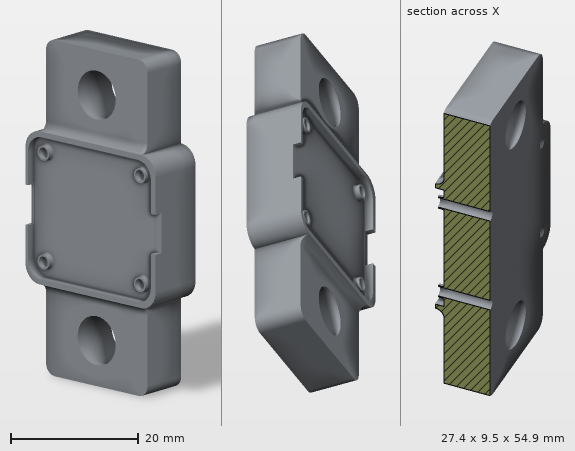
import cadquery as cq

total_height = 54.85
housing_width = 27.4
housing_height = 24.95
housing_depth = 9.5
housing_radius = 3.0

bar_width = housing_width - 2 * housing_radius
bar_depth = 8.0
bar_corner_radius = 1.85
bar_hole_diameter = 8.0
bar_hole_spacing = 40.05
step_radius = housing_depth - bar_depth

left_wall = 0.55
right_wall = 1.0
end_wall = 0.9
pocket_depth = step_radius
pocket_radius = 2.8
pocket_width = housing_width - left_wall - right_wall
pocket_height = housing_height - 2 * end_wall
pocket_center_x = (left_wall - right_wall) / 2

notch_height = 6.55
notch_depth = 1.35

post_spacing_x = 20.3
post_spacing_z = 17.8
post_diameter = 2.4
post_height = 1.0
post_foot_radius = 0.3
post_hole_diameter = 1.8

front_y = -housing_depth / 2
back_y = housing_depth / 2
bar_front_y = back_y - bar_depth
floor_y = front_y + pocket_depth


def plane_at(y):
    """XZ sketch plane at depth y; positive extrusion runs towards the front (-Y)."""
    return cq.Workplane("XZ", origin=(0, y, 0))


def make_bar():
    return (
        plane_at(back_y)
        .rect(bar_width, total_height)
        .extrude(bar_depth)
        .edges("|Y")
        .fillet(bar_corner_radius)
    )


def make_housing():
    return (
        plane_at(back_y)
        .rect(housing_width, housing_height)
        .extrude(housing_depth)
        .edges("|Y")
        .fillet(housing_radius)
    )


def make_step_fillet(side):
    """Concave blend from the bar front to the housing end; side is +1 (top) or -1 (bottom)."""
    housing_end = side * housing_height / 2
    blend_end = housing_end + side * step_radius
    block = cq.Workplane("XY").box(bar_width, step_radius, step_radius)
    block = block.translate((0, (front_y + bar_front_y) / 2, (housing_end + blend_end) / 2))
    hollow = (
        cq.Workplane("YZ", origin=(-bar_width / 2, 0, 0))
        .center(front_y, blend_end)
        .circle(step_radius)
        .extrude(bar_width)
    )
    return block.cut(hollow)


def make_pocket():
    return (
        plane_at(floor_y)
        .center(pocket_center_x, 0)
        .rect(pocket_width, pocket_height)
        .extrude(pocket_depth)
        .edges("|Y")
        .fillet(pocket_radius)
    )


def make_notches():
    return plane_at(front_y + notch_depth).rect(housing_width, notch_height).extrude(notch_depth)


def make_post():
    """One solid post along -Y with its foot centred on the origin."""
    radius = post_diameter / 2
    foot_edge = radius + post_foot_radius
    return (
        cq.Workplane("XY")
        .lineTo(foot_edge, 0)
        .radiusArc((radius, -post_foot_radius), -post_foot_radius)
        .lineTo(radius, -post_height)
        .lineTo(0, -post_height)
        .close()
        .revolve(360, (0, 0), (0, 1))
    )


def make_posts():
    posts = cq.Workplane("XY")
    for side_x in (-1, 1):
        for side_z in (-1, 1):
            post_x = pocket_center_x + side_x * post_spacing_x / 2
            post_z = side_z * post_spacing_z / 2
            posts = posts.add(make_post().translate((post_x, floor_y, post_z)))
    return posts


def make_post_holes():
    return (
        plane_at(back_y)
        .center(pocket_center_x, 0)
        .rarray(post_spacing_x, post_spacing_z, 2, 2)
        .circle(post_hole_diameter / 2)
        .extrude(housing_depth)
    )


def make_bar_holes():
    return (
        plane_at(back_y)
        .rarray(0.55, bar_hole_spacing, 1, 2)
        .circle(bar_hole_diameter / 2)
        .extrude(bar_depth)
    )


result = make_bar().union(make_housing())
for end_side in (1, -1):
    result = result.union(make_step_fillet(end_side))
result = result.cut(make_pocket()).cut(make_notches()).cut(make_bar_holes())
result = result.union(make_posts().combine()).cut(make_post_holes())